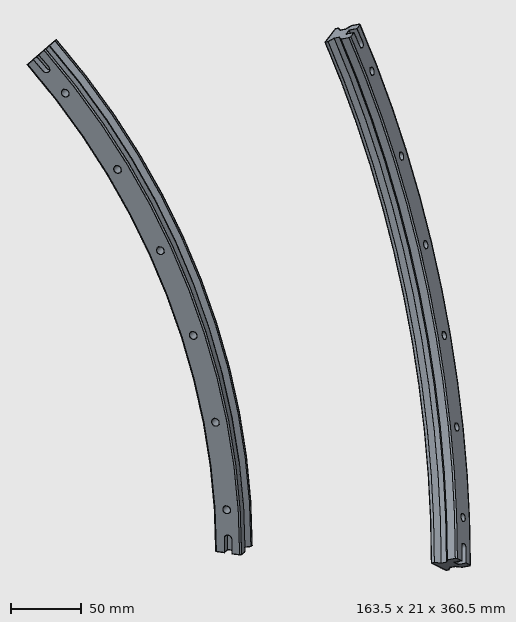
import cadquery as cq
import math

SWEEP_ANGLE = 45.0
END_HEIGHT = 360.5
RAIL_WIDTH = 20.0
RAIL_DEPTH = 21.0

GROOVE_DEPTH = 4.0
FRONT_LAND = 7.5
BACK_LAND = 2.5
GROOVE_SLOPE = 3.2
EDGE_CHAMFER = 1.0

HOLE_COUNT = 6
HOLE_DIAMETER = 5.8

SLOT_WIDTH = 5.8
SLOT_LENGTH = 13.7
SLOT_DEPTH = 6.5

outer_radius = END_HEIGHT / math.sin(math.radians(SWEEP_ANGLE))
mid_radius = outer_radius - RAIL_WIDTH / 2
hole_pitch = SWEEP_ANGLE / HOLE_COUNT


def rail_body():
    """Revolve the section; the front face lies on Y = 0 and the back on +Y."""
    half_width = RAIL_WIDTH / 2
    waist = half_width - GROOVE_DEPTH
    groove_end = RAIL_DEPTH - BACK_LAND
    outer_side = [
        (half_width - EDGE_CHAMFER, 0),
        (half_width, EDGE_CHAMFER),
        (half_width, FRONT_LAND),
        (waist, FRONT_LAND + GROOVE_SLOPE),
        (waist, groove_end - GROOVE_SLOPE),
        (half_width, groove_end),
        (half_width, RAIL_DEPTH),
    ]
    inner_side = [(-offset, y) for offset, y in reversed(outer_side)]
    section = [(mid_radius + offset, y) for offset, y in outer_side + inner_side]
    return (
        cq.Workplane("XY")
        .polyline(section)
        .close()
        .revolve(SWEEP_ANGLE, (0, 0, 0), (0, -1, 0))
    )


def turn_to(shape, angle):
    """Turn a shape about the rail axis, from +X towards +Z."""
    return shape.rotate((0, 0, 0), (0, -1, 0), angle)


def mounting_hole(angle):
    hole = (
        cq.Workplane("XZ")
        .center(mid_radius, 0)
        .circle(HOLE_DIAMETER / 2)
        .extrude(-RAIL_DEPTH)
    )
    return turn_to(hole, angle)


def end_slot(angle):
    """Slot along the tangent at a rail end, centred on the end face."""
    reach = 2 * SLOT_LENGTH
    slot = (
        cq.Workplane("XZ")
        .center(mid_radius, 0)
        .slot2D(reach, SLOT_WIDTH, 90)
        .extrude(-SLOT_DEPTH)
    )
    return turn_to(slot, angle)


result = rail_body()
for index in range(HOLE_COUNT):
    result = result.cut(mounting_hole((index + 0.5) * hole_pitch))
for end_angle in (0, SWEEP_ANGLE):
    result = result.cut(end_slot(end_angle))